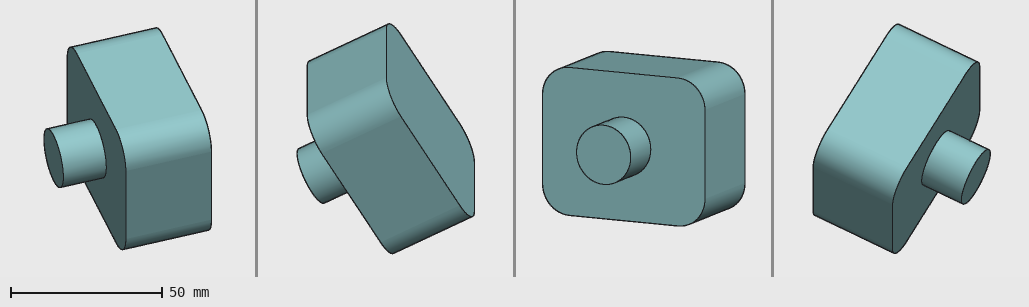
import cadquery as cq

width = 60.0
height = width * 5 / 6
depth = width / 2
corner_radius = width / 6

boss_diameter = width / 3
boss_length = depth / 2


def make_block():
    """Block with its front face on Y = 0 and its four depthwise edges rounded."""
    block = cq.Workplane("XY").box(width, depth, height, centered=(True, False, True))
    return block.edges("|Y").fillet(corner_radius)


def add_boss(block):
    """Extend a cylinder from the front face toward -Y."""
    boss = cq.Workplane("XZ").circle(boss_diameter / 2).extrude(boss_length)
    return block.union(boss)


result = add_boss(make_block())